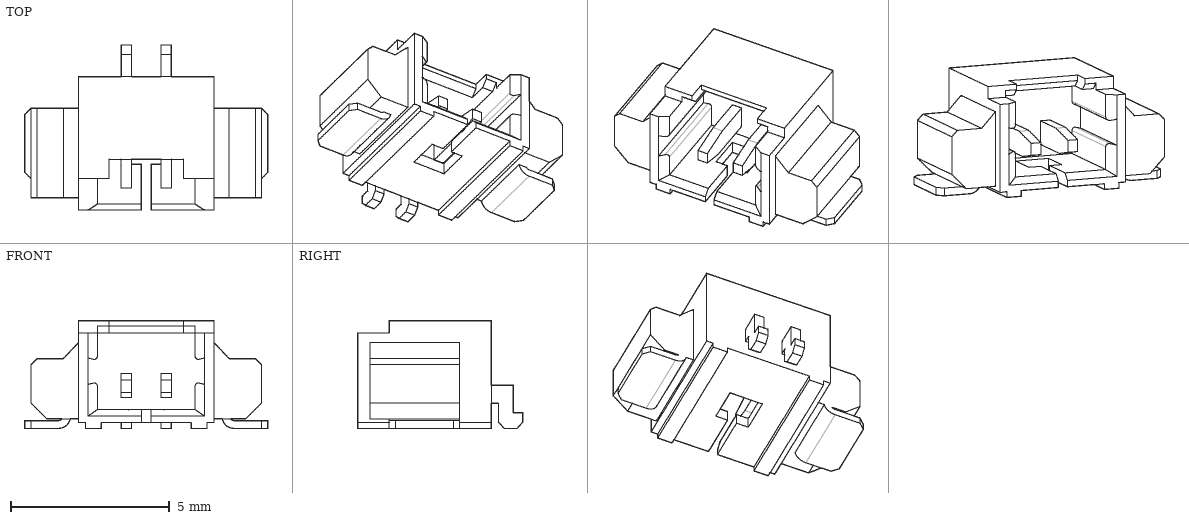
import cadquery as cq


HOUSING_WIDTH = 4.28
HOUSING_LENGTH = 4.21
HOUSING_BOTTOM = 0.18
TOP = 3.4
FOOT_INNER_X = 1.415
FOOT_OUTER_X = 1.91

CAVITY_WIDTH = 3.075
CAVITY_FLOOR = 0.6
CAVITY_CEILING = 3.01
CAVITY_DEPTH = 2.96
MOUTH_WIDTH = 3.67
MOUTH_FLOOR = 0.39
MOUTH_FLARE_DEPTH = 0.19

ROOF_SETBACK = 0.995
ROOF_NOTCH_WIDTH = 2.33
ROOF_NOTCH_DEPTH = 1.6
ROOF_LEAD_IN = 0.215

GROOVE_MID_Z = 1.805
GROOVE_BOTTOM_HEIGHT = 0.835
GROOVE_LIP_HEIGHT = 0.69
GROOVE_LIP_RADIUS = 0.1

FLOOR_SLOT_WIDTH = 0.305
FLOOR_SLOT_LENGTH = 1.45
FLOOR_WINDOW_WIDTH = 1.12
FLOOR_WINDOW_BACK_Y = 2.525

EAR_OUTER_X = 3.625
EAR_FRONT_Y = 0.39
EAR_BACK_Y = 3.21
EAR_BOTTOM = 0.305
EAR_TOP = 2.2
EAR_ROOT_TOP = 2.7
EAR_ROOT_X = 2.61
EAR_TOP_CHAMFER = 0.19
EAR_BOTTOM_CHAMFER = 0.5

TAB_OUTER_X = 3.825
TAB_LENGTH = 2.22
TAB_THICKNESS = 0.25
TAB_BEND_RADIUS = 0.38
TAB_LEG_X = 2.38
TAB_LEG_TOP = 0.765
TAB_CORNER_CHAMFER = 0.2

PIN_PITCH = 1.255
PIN_WIDTH = 0.33
BLADE_BOTTOM = 0.97
BLADE_TOP = 1.73
BLADE_TIP_BOTTOM = 1.14
BLADE_TIP_TOP = 1.52
BLADE_TIP_Y = 0.695
BLADE_TOP_TAPER = 0.995
BLADE_BOTTOM_TAPER = 0.71
TAIL_BOTTOM = 0.795
TAIL_TOP = 1.37
TAIL_LEG_FRONT = 0.22
TAIL_LEG_BACK = 0.695
TAIL_REACH = 0.995
TAIL_TOE_TOP = 0.5
TAIL_CHAMFER_LENGTH = 0.18
TAIL_CHAMFER_HEIGHT = 0.21


def block(x_range, y_range, z_range):
    """Box given by its lower and upper limits along each axis."""
    sizes = [high - low for low, high in (x_range, y_range, z_range)]
    corner = (x_range[0], y_range[0], z_range[0])
    return cq.Workplane("XY").box(*sizes, centered=False).translate(corner)


def centred(width):
    return (-width / 2, width / 2)


def extrude_along_x(points, width):
    """Closed (y, z) outline extruded to a width centred on x = 0."""
    return cq.Workplane("YZ").polyline(points).close().extrude(width / 2, both=True)


def extrude_along_y(outline, front_y, back_y):
    """Closed outline on the XZ plane extruded from front_y to back_y."""
    return outline.extrude(-(back_y - front_y)).translate((0, front_y, 0))


def with_mirror(shape):
    return shape.union(shape.mirror("YZ"))


def housing_block():
    body = block(centred(HOUSING_WIDTH), (0, HOUSING_LENGTH), (HOUSING_BOTTOM, TOP))
    foot = block((FOOT_INNER_X, FOOT_OUTER_X), (0, HOUSING_LENGTH), (0, HOUSING_BOTTOM))
    return body.union(with_mirror(foot))


def cavity():
    """Rectangular cavity with a mouth flared at the floor and both sides."""
    def section(width, floor, y):
        height = CAVITY_CEILING - floor
        plane = cq.Workplane("XZ", origin=(0, y, floor + height / 2))
        return plane.rect(width, height).wires().val()

    main = block(centred(CAVITY_WIDTH), (0, CAVITY_DEPTH), (CAVITY_FLOOR, CAVITY_CEILING))
    wires = [
        section(MOUTH_WIDTH, MOUTH_FLOOR, 0),
        section(CAVITY_WIDTH, CAVITY_FLOOR, MOUTH_FLARE_DEPTH),
    ]
    return main.union(cq.Workplane(cq.Solid.makeLoft(wires, True)))


def roof_cut():
    """Setback and notch in the roof, each with a sloped lead-in under its back edge."""
    def step(width, depth, lead_in_width):
        lead_in = [
            (depth, CAVITY_CEILING),
            (depth + ROOF_LEAD_IN, CAVITY_CEILING),
            (depth, CAVITY_CEILING + ROOF_LEAD_IN),
        ]
        opening = block(centred(width), (0, depth), (CAVITY_CEILING, TOP))
        return opening.union(extrude_along_x(lead_in, lead_in_width))

    setback = step(HOUSING_WIDTH, ROOF_SETBACK, CAVITY_WIDTH)
    return setback.union(step(ROOF_NOTCH_WIDTH, ROOF_NOTCH_DEPTH, ROOF_NOTCH_WIDTH))


def key_grooves():
    """Grooves joined to a slice of the cavity, so that filleting the cutter rounds their lips."""
    bottom_x = MOUTH_WIDTH / 2
    lip_x = CAVITY_WIDTH / 2
    slice_x = lip_x / 2
    bottom_half = GROOVE_BOTTOM_HEIGHT / 2
    lip_half = GROOVE_LIP_HEIGHT / 2
    points = [
        (slice_x, CAVITY_FLOOR),
        (lip_x, CAVITY_FLOOR),
        (lip_x, GROOVE_MID_Z - lip_half),
        (bottom_x, GROOVE_MID_Z - bottom_half),
        (bottom_x, GROOVE_MID_Z + bottom_half),
        (lip_x, GROOVE_MID_Z + lip_half),
        (lip_x, CAVITY_CEILING),
        (slice_x, CAVITY_CEILING),
    ]
    groove = extrude_along_y(cq.Workplane("XZ").polyline(points).close(), 0, CAVITY_DEPTH)
    lips = cq.selectors.BoxSelector(
        (slice_x, 0, GROOVE_MID_Z - bottom_half),
        ((lip_x + bottom_x) / 2, CAVITY_DEPTH, GROOVE_MID_Z + bottom_half),
    )
    return with_mirror(groove.edges("|Y").edges(lips).fillet(GROOVE_LIP_RADIUS))


def floor_openings():
    slot = block(centred(FLOOR_SLOT_WIDTH), (0, FLOOR_SLOT_LENGTH), (0, CAVITY_FLOOR))
    window_y = (FLOOR_SLOT_LENGTH, FLOOR_WINDOW_BACK_Y)
    return slot.union(block(centred(FLOOR_WINDOW_WIDTH), window_y, (0, CAVITY_FLOOR)))


def ear():
    """Right-hand ear; its root reaches into the housing side wall."""
    wall_x = HOUSING_WIDTH / 2
    root_x = (HOUSING_WIDTH + MOUTH_WIDTH) / 4
    points = [
        (root_x, EAR_BOTTOM),
        (EAR_OUTER_X - EAR_BOTTOM_CHAMFER, EAR_BOTTOM),
        (EAR_OUTER_X, EAR_BOTTOM + EAR_BOTTOM_CHAMFER),
        (EAR_OUTER_X, EAR_TOP - EAR_TOP_CHAMFER),
        (EAR_OUTER_X - EAR_TOP_CHAMFER, EAR_TOP),
        (EAR_ROOT_X, EAR_TOP),
        (wall_x, EAR_ROOT_TOP),
        (root_x, EAR_ROOT_TOP),
    ]
    return extrude_along_y(cq.Workplane("XZ").polyline(points).close(), EAR_FRONT_Y, EAR_BACK_Y)


def solder_tab():
    """Right-hand tab: a flat strip bent upwards, with its two outer corners cut off."""
    inner_x = TAB_LEG_X + TAB_THICKNESS
    inner_radius = TAB_BEND_RADIUS - TAB_THICKNESS
    bend_x = TAB_LEG_X + TAB_BEND_RADIUS
    outline = (
        cq.Workplane("XZ")
        .moveTo(TAB_OUTER_X, 0)
        .lineTo(bend_x, 0)
        .radiusArc((TAB_LEG_X, TAB_BEND_RADIUS), TAB_BEND_RADIUS)
        .lineTo(TAB_LEG_X, TAB_LEG_TOP)
        .lineTo(inner_x, TAB_LEG_TOP)
        .lineTo(inner_x, TAB_BEND_RADIUS)
        .radiusArc((bend_x, TAB_THICKNESS), -inner_radius)
        .lineTo(TAB_OUTER_X, TAB_THICKNESS)
        .close()
    )
    tab = extrude_along_y(outline, EAR_BACK_Y - TAB_LENGTH, EAR_BACK_Y)
    return tab.faces(">X").edges("|Z").chamfer(TAB_CORNER_CHAMFER)


def pin():
    """Tapered blade in the cavity, joined inside the rear wall to a bent solder tail."""
    rear = HOUSING_LENGTH
    joint_y = (CAVITY_DEPTH + rear) / 2
    leg_front = rear + TAIL_LEG_FRONT
    tail_end = rear + TAIL_REACH
    points = [
        (BLADE_TIP_Y, BLADE_TIP_BOTTOM),
        (BLADE_TIP_Y + BLADE_BOTTOM_TAPER, BLADE_BOTTOM),
        (joint_y, BLADE_BOTTOM),
        (joint_y, TAIL_BOTTOM),
        (leg_front, TAIL_BOTTOM),
        (leg_front, TAIL_CHAMFER_HEIGHT),
        (leg_front + TAIL_CHAMFER_LENGTH, 0),
        (tail_end - TAIL_CHAMFER_LENGTH, 0),
        (tail_end, TAIL_CHAMFER_HEIGHT),
        (tail_end, TAIL_TOE_TOP),
        (rear + TAIL_LEG_BACK, TAIL_TOE_TOP),
        (rear + TAIL_LEG_BACK, TAIL_TOP),
        (joint_y, TAIL_TOP),
        (joint_y, BLADE_TOP),
        (BLADE_TIP_Y + BLADE_TOP_TAPER, BLADE_TOP),
        (BLADE_TIP_Y, BLADE_TIP_TOP),
    ]
    return extrude_along_x(points, PIN_WIDTH)


housing = housing_block().cut(cavity()).cut(roof_cut()).cut(key_grooves()).cut(floor_openings())
side_mounts = with_mirror(ear().union(solder_tab()))
result = housing.union(side_mounts)
for side in (-1, 1):
    result = result.union(pin().translate((side * PIN_PITCH / 2, 0, 0)))